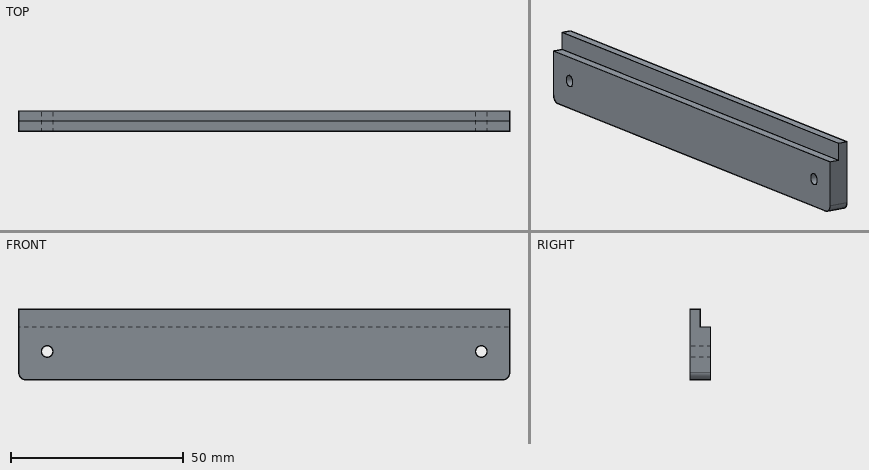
import cadquery as cq

length = 142.2
thickness = 6.0
height = 20.5
corner_radius = 2.1

lip_thickness = 3.0
step_depth = 5.1

hole_diameter = 3.3
hole_spacing = 125.7
hole_height = 8.2

plate = cq.Workplane("XY").box(length, thickness, height, centered=(True, False, False))
plate = plate.faces("<Z").edges("|Y").fillet(corner_radius)

step = (
    cq.Workplane("XY")
    .box(length, thickness - lip_thickness, step_depth, centered=(True, False, False))
    .translate((0, lip_thickness, height - step_depth))
)

holes = (
    cq.Workplane("XZ")
    .pushPoints([(side * hole_spacing / 2, hole_height) for side in (-1, 1)])
    .circle(hole_diameter / 2)
    .extrude(-thickness)
)

result = plate.cut(step).cut(holes)